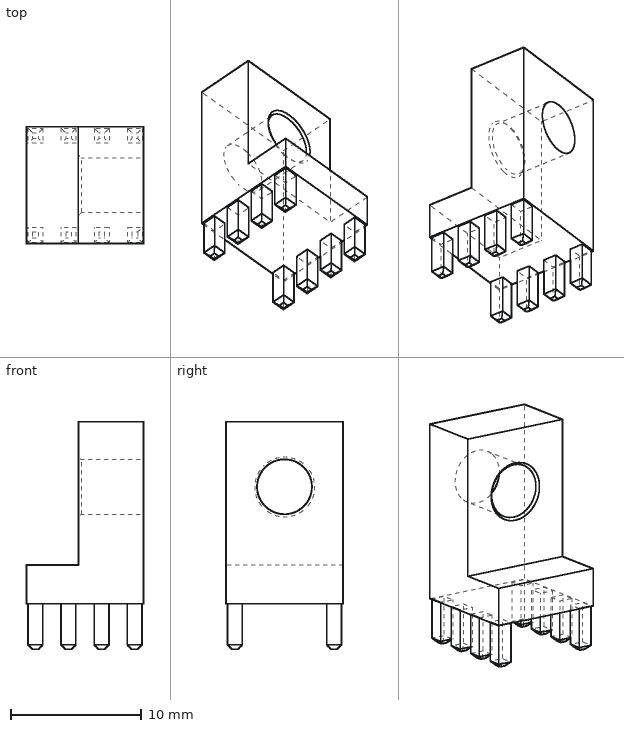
import cadquery as cq

body_size = 9.0
body_height = 14.0
foot_height = 3.0
upright_thickness = 5.0

hole_diameter = 4.2
hole_below_top = 5.0
hole_chamfer = 0.2

pin_pitch = 2.54
pins_per_row = 4
row_count = 2
row_spacing = 3 * pin_pitch
pin_width = 1.15
pin_length = 3.5
pin_chamfer = 0.35

half_size = body_size / 2
upright_face_x = half_size - upright_thickness
hole_z = body_height - hole_below_top


def make_body():
    """L-shaped profile in XZ, extruded across the full Y width."""
    outline = [
        (-half_size, 0),
        (half_size, 0),
        (half_size, body_height),
        (upright_face_x, body_height),
        (upright_face_x, foot_height),
        (-half_size, foot_height),
    ]
    return cq.Workplane("XZ").polyline(outline).close().extrude(half_size, both=True)


def make_hole():
    """Cutter for the hole, with a 45 degree chamfer at the mouth facing the foot."""
    hole_radius = hole_diameter / 2
    mouth_radius = hole_radius + hole_chamfer
    profile = [
        (upright_face_x, 0),
        (upright_face_x, mouth_radius),
        (upright_face_x + hole_chamfer, hole_radius),
        (half_size, hole_radius),
        (half_size, 0),
    ]
    cutter = cq.Workplane("XY").polyline(profile).close().revolve(360, (0, 0), (1, 0))
    return cutter.translate((0, 0, hole_z))


def make_pins():
    """Two rows of square pins along X, with chamfered tips."""
    pin_positions = cq.Workplane("XY").rarray(pin_pitch, row_spacing, pins_per_row, row_count)
    pins = pin_positions.rect(pin_width, pin_width).extrude(-pin_length)
    return pins.faces("<Z").edges().chamfer(pin_chamfer)


result = make_body().cut(make_hole()).union(make_pins())